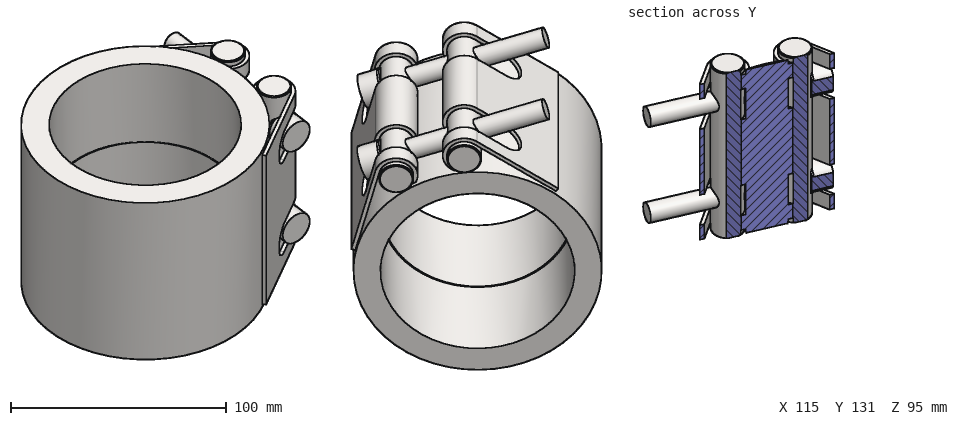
import cadquery as cq
import math

ring_diameter = 115.0
ring_height = 93.7
bore_diameter = 89.0
wide_bore_diameter = 90.0

pin_diameter = 16.0
pin_length = 95.0
pin_chamfer = 0.5
pin_x = 16.8
total_depth = 131

strap_thickness = 2.0
strap_height = 89.1
strap_end_y = 29.3

slot_width = 17.0
slot_end_y = 48.0

bolt_diameter = 10.0
bolt_spacing = 54.9
bolt_tip_x = -57.0
bolt_length = 90.0
head_diameter = 16.2
head_length = 9.7
washer_diameter = 16.6
washer_thickness = 1.0

ring_radius = ring_diameter / 2
pin_radius = pin_diameter / 2
loop_radius = pin_radius + strap_thickness
pin_y = total_depth - ring_radius - loop_radius
bolt_levels = (-bolt_spacing / 2, bolt_spacing / 2)
pin_center = cq.Vector(-pin_x, pin_y)

strap_end = cq.Vector(-math.sqrt(ring_radius**2 - strap_end_y**2), strap_end_y)
to_pin = pin_center - strap_end
strap_angle = math.atan2(to_pin.y, to_pin.x) + math.asin(pin_radius / to_pin.Length)
along_strap = cq.Vector(math.cos(strap_angle), math.sin(strap_angle))
off_strap = cq.Vector(-along_strap.y, along_strap.x)


def make_ring():
    ring = cq.Workplane("XY").circle(ring_radius).circle(bore_diameter / 2)
    ring = ring.extrude(ring_height / 2, both=True)
    wide_bore = cq.Workplane("XY").circle(wide_bore_diameter / 2).extrude(-ring_height / 2)
    return ring.cut(wide_bore)


def make_slot(level):
    """Cutter across the left strap: round at the ring end, open past the loop."""
    outer_end = strap_end + off_strap * strap_thickness
    slot_start = (slot_end_y - outer_end.y) / along_strap.y
    round_center = outer_end + along_strap * (slot_start + slot_width / 2)
    reach = 2 * loop_radius + strap_thickness
    length = 4 * loop_radius
    plane = cq.Plane(
        origin=(round_center.x, round_center.y, level),
        xDir=along_strap.toTuple(),
        normal=off_strap.toTuple(),
    )
    round_end = cq.Workplane(plane).circle(slot_width / 2).extrude(reach, both=True)
    straight = cq.Workplane(plane).center(length / 2, 0).rect(length, slot_width).extrude(reach, both=True)
    return round_end.union(straight)


def make_left_strap():
    """Flat plate plus the loop that turns over the pin and down into the ring."""
    outer_end = strap_end + off_strap * strap_thickness
    to_ring = pin_center * (-1 / pin_center.Length)
    start_angle = math.atan2(off_strap.y, off_strap.x)
    finish_angle = math.atan2(to_ring.y, to_ring.x)
    middle_angle = (start_angle + finish_angle) / 2
    middle = cq.Vector(math.cos(middle_angle), math.sin(middle_angle))

    def on_loop(direction, radius):
        point = pin_center + direction * radius
        return (point.x, point.y)

    strap = (
        cq.Workplane("XY")
        .moveTo(strap_end.x, strap_end.y)
        .lineTo(outer_end.x, outer_end.y)
        .lineTo(*on_loop(off_strap, loop_radius))
        .threePointArc(on_loop(middle, loop_radius), on_loop(to_ring, loop_radius))
        .lineTo(*on_loop(to_ring, pin_radius))
        .threePointArc(on_loop(middle, pin_radius), on_loop(off_strap, pin_radius))
        .close()
        .extrude(strap_height / 2, both=True)
    )
    for level in bolt_levels:
        strap = strap.cut(make_slot(level))
    return strap


def make_clamp():
    """Ring with a strap on each side."""
    left_strap = make_left_strap()
    right_strap = left_strap.mirror("YZ")
    return make_ring().union(left_strap).union(right_strap)


def make_pin(x):
    pin = cq.Workplane("XY").center(x, pin_y).circle(pin_radius).extrude(pin_length / 2, both=True)
    return pin.faces("|Z").edges().chamfer(pin_chamfer)


def make_bolt(level):
    plane = cq.Plane(origin=(bolt_tip_x, pin_y, level), xDir=(0, 1, 0), normal=(1, 0, 0))
    head_start = bolt_length - head_length
    washer_start = head_start - washer_thickness

    def disc(start, diameter, length):
        return cq.Workplane(plane).workplane(offset=start).circle(diameter / 2).extrude(length)

    shank = disc(0, bolt_diameter, bolt_length)
    washer = disc(washer_start, washer_diameter, washer_thickness)
    head = disc(head_start, head_diameter, head_length)
    return shank.union(washer).union(head)


def make_fastener():
    """Two pins joined by two bolts."""
    fastener = make_pin(-pin_x).union(make_pin(pin_x))
    for level in bolt_levels:
        fastener = fastener.union(make_bolt(level))
    return fastener


clamp = make_clamp()
fastener = make_fastener()

result = cq.Compound.makeCompound([clamp.val(), fastener.val()])